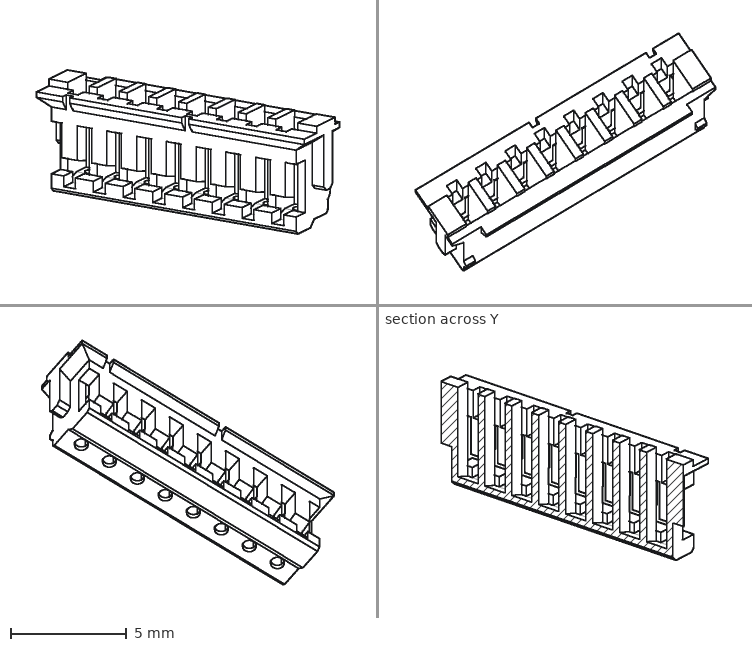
import cadquery as cq


flange_length = 13.5
body_length = 12.34
body_depth = 2.69
body_top = 4.5
wall_top = 4.8

contact_count = 8
pitch = flange_length / (contact_count + 1)
contact_centres = [(i + 1) * pitch - flange_length / 2 for i in range(contact_count)]

flange_front = 0.28
back_lip_length = 10.56
back_lip_reach = 0.43
flange_edge_bottom = 4.25
flange_taper_bottom = 3.83
flange_notch_width = 0.35
flange_notch_contacts = (0, 4)

front_edge_run = 0.15
front_edge_rise = 0.16
foot_depth = 1.22
foot_height = 0.31
back_edge_chamfer = 0.14

wall_front = 0.75
wall_back = 2.32

cavity_width = 1.1
cavity_back = 2.3
ramp_back = 1.51
cavity_floor = 0.57
hole_diameter = 0.6
hole_y = 1.84

ledge_top = 0.81
window_top = 3.19
tongue_width = 0.77
tongue_front_bottom = 1.62
tongue_back_bottom = 1.42

keyway_width = 0.51
keyway_front = 0.28
notch_width = 0.6
notch_floor = 0.32

rib_front = 1.38
rib_back = 2.1
rib_bottom = 1.7
rib_chamfer = 0.19

bump_width = 0.47
bump_reach = 0.2
bump_heights = (0.89, 1.17, 1.43, 1.62)


def box(x_range, y_range, z_range):
    """Axis-aligned box between the given limits."""
    size = [high - low for low, high in (x_range, y_range, z_range)]
    corner = (x_range[0], y_range[0], z_range[0])
    return cq.Workplane("XY").box(*size, centered=False).translate(corner)


def centred_box(x_centre, width, y_range, z_range):
    """Box of the given width, centred on x_centre."""
    return box((x_centre - width / 2, x_centre + width / 2), y_range, z_range)


def side_prism(x_centre, width, outline):
    """Prism along X from a (Y, Z) outline, centred on x_centre."""
    prism = cq.Workplane("YZ").polyline(outline).close().extrude(width / 2, both=True)
    return prism.translate((x_centre, 0, 0))


def make_body():
    outline = [
        (front_edge_run, 0),
        (foot_depth, 0),
        (foot_depth + foot_height, foot_height),
        (body_depth - back_edge_chamfer, foot_height),
        (body_depth, foot_height + back_edge_chamfer),
        (body_depth, body_top),
        (0, body_top),
        (0, front_edge_rise),
    ]
    return side_prism(0, body_length, outline)


def make_flange():
    """Plate at the top, tapering down to the body at the front and ends, plus the back lip."""
    plate_depth = body_depth + flange_front
    plate = centred_box(0, flange_length, (-flange_front, body_depth), (flange_edge_bottom, body_top))
    taper = (
        cq.Workplane("XY", origin=(0, body_depth / 2, flange_taper_bottom))
        .rect(body_length, body_depth)
        .workplane(offset=flange_edge_bottom - flange_taper_bottom)
        .center(0, -flange_front / 2)
        .rect(flange_length, plate_depth)
        .loft(ruled=True)
    )
    lip_outline = [
        (body_depth, flange_taper_bottom),
        (body_depth + back_lip_reach, flange_edge_bottom),
        (body_depth + back_lip_reach, body_top),
        (body_depth, body_top),
    ]
    flange = plate.union(taper).union(side_prism(0, back_lip_length, lip_outline))
    for index in flange_notch_contacts:
        x = contact_centres[index]
        notch = centred_box(x, flange_notch_width, (-flange_front, 0), (flange_taper_bottom, body_top))
        flange = flange.cut(notch)
    return flange


def make_end_rib(side):
    """Guide rib reaching out to the flange end, with a chamfered lower tip."""
    outline = [
        (rib_front, body_top),
        (rib_front, rib_bottom + rib_chamfer),
        (rib_front + rib_chamfer, rib_bottom),
        (rib_back - rib_chamfer, rib_bottom),
        (rib_back, rib_bottom + rib_chamfer),
        (rib_back, body_top),
    ]
    rib_reach = (flange_length - body_length) / 2
    return side_prism(side * (body_length + rib_reach) / 2, rib_reach, outline)


def make_latch_bump(side):
    bottom, ridge_bottom, ridge_top, top = bump_heights
    outline = [
        (body_depth, bottom),
        (body_depth + bump_reach, ridge_bottom),
        (body_depth + bump_reach, ridge_top),
        (body_depth, top),
    ]
    return side_prism(side * (body_length - bump_width) / 2, bump_width, outline)


def make_front_window():
    """Recess across the front, leaving a tongue hanging in front of each contact."""
    window = centred_box(0, body_length, (0, wall_front), (ledge_top, window_top))
    tongue_outline = [
        (0, tongue_front_bottom),
        (wall_front, tongue_back_bottom),
        (wall_front, window_top),
        (0, window_top),
    ]
    for x in contact_centres:
        window = window.cut(side_prism(x, tongue_width, tongue_outline))
    return window


def make_contact_cavity(x):
    """Cavity open at the top with a ramped front floor, wire hole, keyway and ledge notch."""
    outline = [
        (wall_front, notch_floor),
        (ramp_back, cavity_floor),
        (cavity_back, cavity_floor),
        (cavity_back, body_top),
        (wall_back, body_top),
        (wall_back, wall_top),
        (wall_front, wall_top),
    ]
    cavity = side_prism(x, cavity_width, outline)
    hole = cq.Workplane("XY").center(x, hole_y).circle(hole_diameter / 2).extrude(cavity_floor)
    keyway = centred_box(x, keyway_width, (keyway_front, wall_front), (window_top, body_top))
    notch = centred_box(x, notch_width, (0, wall_front), (notch_floor, ledge_top))
    return cavity.union(hole).union(keyway).union(notch)


result = make_body().union(make_flange())
result = result.union(centred_box(0, flange_length, (wall_front, wall_back), (body_top, wall_top)))
for side in (-1, 1):
    result = result.union(make_end_rib(side)).union(make_latch_bump(side))
result = result.cut(make_front_window())
for contact_x in contact_centres:
    result = result.cut(make_contact_cavity(contact_x))